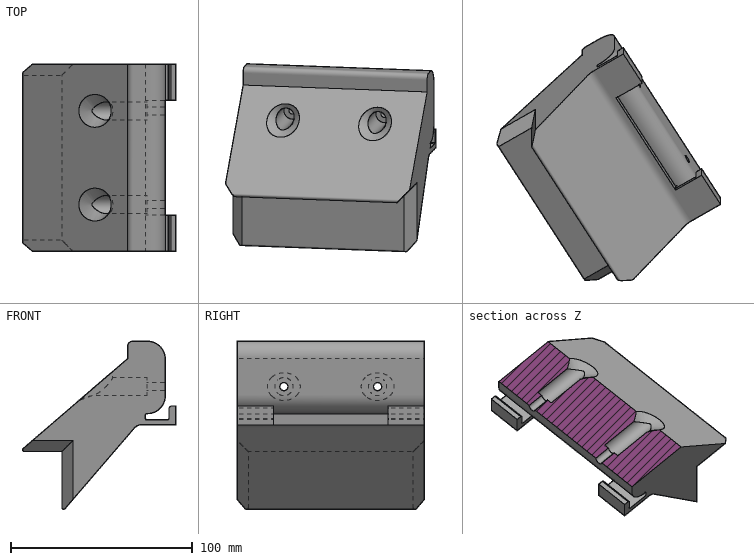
import cadquery as cq
import math

width = 103.0
height = 92.5
depth = 84.3

notch_x = 21.5
notch_z = 31.7
slope_angle = 40.7
tip_radius = 1.0
notch_chamfer = 6.2

head_left = 57.7
head_right = 78.5
head_bottom = 52.5
head_radius = 10.0
head_lip_radius = 3.0

hook_bottom = 46.5
hook_floor = 2.9
hook_wall = 3.8
hook_height = 10.4
hook_width = 20.0
hook_lead_in = 1.0
hook_root_chamfer = 0.5
slot_left = 67.5
slot_radius = 0.8
underside_radius = 5.0

screw_diameter = 4.3
bore_diameter = 10.0
bore_chamfer = 4.0
screw_spacing = 51.5
screw_z = 67.5
screw_wall = 10.0

slope = math.tan(math.radians(slope_angle))
tip_loss = tip_radius / math.tan(math.radians(slope_angle / 2)) - tip_radius
left_tip = -tip_loss
bottom_tip = -tip_loss
slot_bottom = hook_bottom + hook_floor
hook_inner = depth - hook_wall
underside_corner = notch_x + (hook_bottom - bottom_tip) * slope


def upper_face_z(x):
    """Height of the sloped upper face at x."""
    return notch_z + (x - left_tip) * slope


def round_edge(body, x, z, radius):
    """Fillet the edge along Y nearest to (x, z)."""
    return body.edges("|Y").edges(cq.selectors.NearestToPointSelector((x, 0, z))).fillet(radius)


def bevel_edge(body, x, z, size):
    """Chamfer the edge along Y nearest to (x, z)."""
    return body.edges("|Y").edges(cq.selectors.NearestToPointSelector((x, 0, z))).chamfer(size)


def make_profile_body():
    """Full-width extrusion of the side outline, with its corners broken."""
    outline = [
        (left_tip, notch_z),
        (notch_x, notch_z),
        (notch_x, bottom_tip),
        (underside_corner, hook_bottom),
        (depth, hook_bottom),
        (depth, hook_bottom + hook_height),
        (hook_inner, hook_bottom + hook_height),
        (hook_inner, slot_bottom),
        (slot_left, slot_bottom),
        (slot_left, head_bottom),
        (head_right, head_bottom),
        (head_right, height),
        (head_left, height),
        (head_left, upper_face_z(head_left)),
    ]
    body = cq.Workplane("XZ").polyline(outline).close().extrude(width / 2, both=True)
    rounded_corners = [
        (left_tip, notch_z, tip_radius),
        (notch_x, bottom_tip, tip_radius),
        (underside_corner, hook_bottom, underside_radius),
        (slot_left, slot_bottom, slot_radius),
        (slot_left, head_bottom, slot_radius),
        (head_right, head_bottom, head_radius),
        (head_right, height, head_radius),
        (head_left, height, head_lip_radius),
    ]
    for x, z, radius in rounded_corners:
        body = round_edge(body, x, z, radius)
    body = bevel_edge(body, hook_inner, hook_bottom + hook_height, hook_lead_in)
    return bevel_edge(body, hook_inner, slot_bottom, hook_root_chamfer)


def cut_hook_gap(body):
    """Remove the middle of the hook rail, leaving one hook at each end."""
    gap = cq.Workplane("XY").box(
        depth - slot_left, width - 2 * hook_width, head_bottom - hook_bottom,
        centered=(False, True, False),
    ).translate((slot_left, 0, hook_bottom))
    upright_gap = cq.Workplane("XY").box(
        depth - head_right, width - 2 * hook_width, hook_height,
        centered=(False, True, False),
    ).translate((head_right, 0, hook_bottom))
    return body.cut(gap).cut(upright_gap)


def cut_notch_chamfers(body):
    """Flare the notch outwards at both ends, with a mitre between its faces."""
    reach = depth

    def flare_section(growth):
        return [
            (-reach, -reach),
            (notch_x + growth, -reach),
            (notch_x + growth, notch_z + growth),
            (-reach, notch_z + growth),
        ]

    flare = (
        cq.Workplane("XZ", origin=(0, notch_chamfer - width / 2, 0))
        .polyline(flare_section(0)).close()
        .workplane(offset=notch_chamfer)
        .polyline(flare_section(notch_chamfer)).close()
        .loft(ruled=True)
    )
    return body.cut(flare).cut(flare.mirror("XZ"))


def cut_screw_holes(body):
    """Counterbored holes along X, with the skewed bore mouths chamfered."""
    bore_floor = head_right - screw_wall
    mouth_x = left_tip + (screw_z - notch_z) / slope
    for y in (-screw_spacing / 2, screw_spacing / 2):
        start = cq.Workplane("YZ").center(y, screw_z)
        body = body.cut(start.circle(bore_diameter / 2).extrude(bore_floor))
        mouth = cq.selectors.BoxSelector(
            (mouth_x - bore_diameter, y - bore_diameter, screw_z - bore_diameter),
            (mouth_x + bore_diameter, y + bore_diameter, screw_z + bore_diameter),
        )
        body = body.edges("%ELLIPSE or %BSPLINE").edges(mouth).chamfer(bore_chamfer)
        body = body.cut(start.circle(screw_diameter / 2).extrude(depth))
    return body


result = make_profile_body()
result = cut_hook_gap(result)
result = cut_notch_chamfers(result)
result = cut_screw_holes(result)